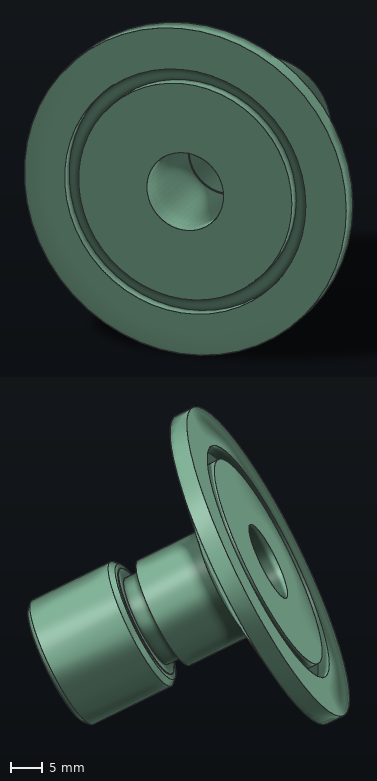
import cadquery as cq

flange_diameter = 55.0
total_length = 38.2
rim_thickness = 3.1
cone_end = 7.7
neck_end = 19.0
collar_start = 22.15
nut_start = 22.3

neck_diameter = 18.8
groove_diameter = 15.45
collar_diameter = neck_diameter
nut_diameter = 22.2
nut_chamfer = 0.8
front_bore_diameter = 13.1
rear_bore_diameter = 12.7

recess_outer_diameter = 41.2
recess_inner_diameter = 36.4
recess_depth = 2.05


def cylinder(diameter, start, end):
    """Cylinder on the Y axis between two distances from the flange face."""
    plane = cq.Workplane("XZ", origin=(0, start, 0))
    return plane.circle(diameter / 2).extrude(start - end)


def flange():
    """Flat rim with a conical back tapering down to the neck."""
    profile = (
        cq.Workplane("XY")
        .lineTo(flange_diameter / 2, 0)
        .lineTo(flange_diameter / 2, rim_thickness)
        .lineTo(neck_diameter / 2, cone_end)
        .lineTo(0, cone_end)
        .close()
    )
    return profile.revolve(360, (0, 0, 0), (0, 1, 0))


def nut():
    """Round nut, chamfered at both ends."""
    return cylinder(nut_diameter, nut_start, total_length).edges().chamfer(nut_chamfer)


def bore():
    """Stepped bore through the whole part."""
    front = cylinder(front_bore_diameter, 0, neck_end)
    return front.union(cylinder(rear_bore_diameter, neck_end, total_length))


def face_recess():
    """Ring-shaped recess in the flange face."""
    outer = cylinder(recess_outer_diameter, 0, recess_depth)
    return outer.cut(cylinder(recess_inner_diameter, 0, recess_depth))


neck = cylinder(neck_diameter, cone_end, neck_end)
groove = cylinder(groove_diameter, neck_end, nut_start)
collar = cylinder(collar_diameter, collar_start, nut_start)
body = flange().union(neck).union(groove).union(collar).union(nut())
result = body.cut(face_recess()).cut(bore())